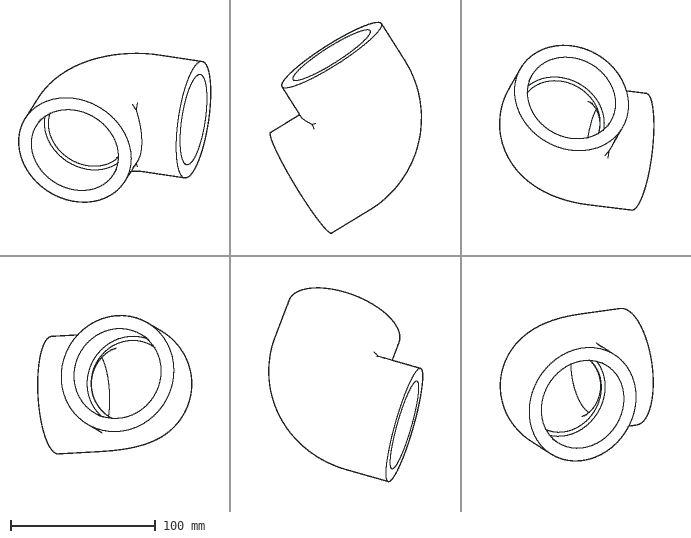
import cadquery as cq

overall_length = 106.2
outer_diameter = 81.5
socket_diameter = 63.0
passage_diameter = 57.3
socket_depth = 30.6

outer_radius = outer_diameter / 2
face_distance = overall_length - outer_radius
bend_radius = face_distance - socket_depth


def both_legs(diameter):
    """Straight cylinders from each end face back to the start of the bend."""
    front_leg = (
        cq.Workplane("XZ", origin=(0, -face_distance, 0))
        .circle(diameter / 2)
        .extrude(-socket_depth)
    )
    side_leg = (
        cq.Workplane("YZ", origin=(face_distance, 0, 0))
        .circle(diameter / 2)
        .extrude(-socket_depth)
    )
    return front_leg.union(side_leg)


def quarter_bend(diameter):
    """Quarter torus, with its section cut off at the bend axis if it reaches past it."""
    section = cq.Sketch().circle(diameter / 2)
    if diameter / 2 > bend_radius:
        shift = cq.Location(cq.Vector(bend_radius + diameter / 2, 0, 0))
        beyond_axis = cq.Sketch().rect(diameter, 2 * diameter).moved(shift)
        section = section.face(beyond_axis, mode="s")
    return (
        cq.Workplane("XZ", origin=(0, -bend_radius, 0))
        .placeSketch(section)
        .revolve(90, (bend_radius, 0, 0), (bend_radius, -1, 0))
    )


body = both_legs(outer_diameter).union(quarter_bend(outer_diameter))
sockets = both_legs(socket_diameter)
passage = quarter_bend(passage_diameter)

result = body.cut(sockets).cut(passage)